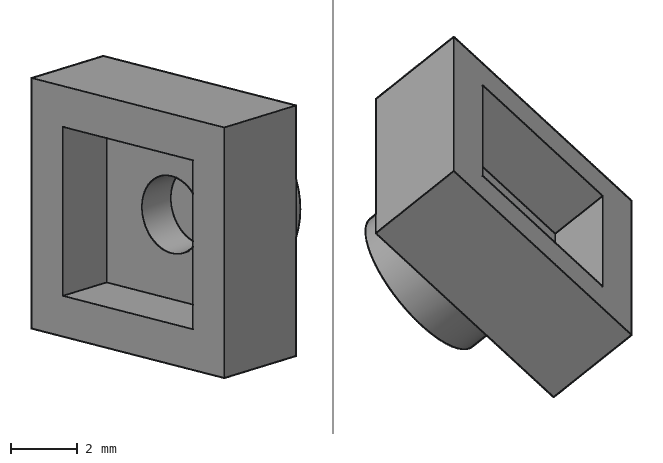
import cadquery as cq

plate_side = 7.8
plate_depth = 3.18

total_depth = 4.96
stud_diameter = 4.9
stud_height = total_depth - plate_depth

pocket_side = 5.26
pocket_depth = 1.935

hole_diameter = 2.4
hole_depth = 1.28


def plane_at(y):
    """Sketch plane at the given Y, extruding toward +Y."""
    return cq.Workplane(cq.Plane(origin=(0, y, 0), xDir=(1, 0, 0), normal=(0, 1, 0)))


plate = plane_at(0).rect(plate_side, plate_side).extrude(plate_depth)
stud = plane_at(plate_depth).circle(stud_diameter / 2).extrude(stud_height)
pocket = plane_at(0).rect(pocket_side, pocket_side).extrude(pocket_depth)
hole = plane_at(pocket_depth).circle(hole_diameter / 2).extrude(hole_depth)

result = plate.union(stud).cut(pocket).cut(hole)